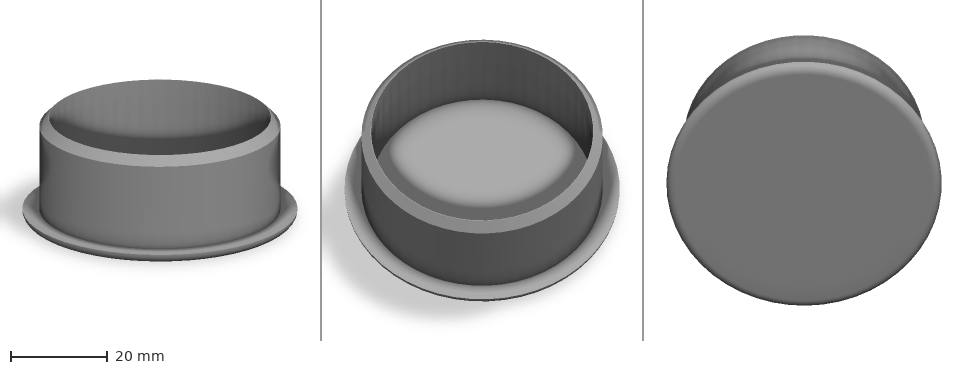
import cadquery as cq

flange_diameter = 57.0
flange_thickness = 2.0
flange_edge_radius = 1.9
plug_diameter = 50.0
bore_diameter = 46.0
total_height = 22.0
lead_in_chamfer = 1.9

plug_height = total_height - flange_thickness

flange = (
    cq.Workplane("XY")
    .circle(flange_diameter / 2)
    .extrude(flange_thickness)
    .faces("<Z")
    .edges()
    .fillet(flange_edge_radius)
)

plug = (
    cq.Workplane("XY")
    .workplane(offset=flange_thickness)
    .circle(plug_diameter / 2)
    .extrude(plug_height)
    .faces(">Z")
    .edges()
    .chamfer(lead_in_chamfer)
)
bore = (
    cq.Workplane("XY")
    .workplane(offset=flange_thickness)
    .circle(bore_diameter / 2)
    .extrude(plug_height)
)

result = flange.union(plug.cut(bore))